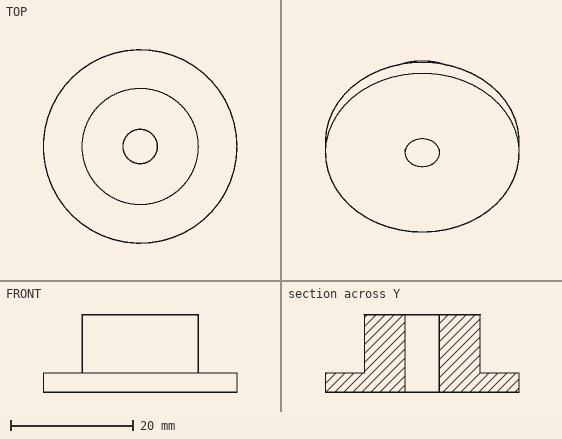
import cadquery as cq

flange_diameter = 31.75
boss_diameter = 19.05
bore_diameter = 5.61
total_height = 12.7
flange_thickness = 3.175
boss_height = total_height - flange_thickness


def make_flange():
    """Round base flange resting on the XY plane."""
    return cq.Workplane("XY").circle(flange_diameter / 2).extrude(flange_thickness)


def add_boss(body):
    """Cylindrical boss centred on top of the flange."""
    return body.faces(">Z").workplane().circle(boss_diameter / 2).extrude(boss_height)


def cut_bore(body):
    """Plain bore through the boss and the flange."""
    return body.faces(">Z").workplane().hole(bore_diameter)


result = cut_bore(add_boss(make_flange()))